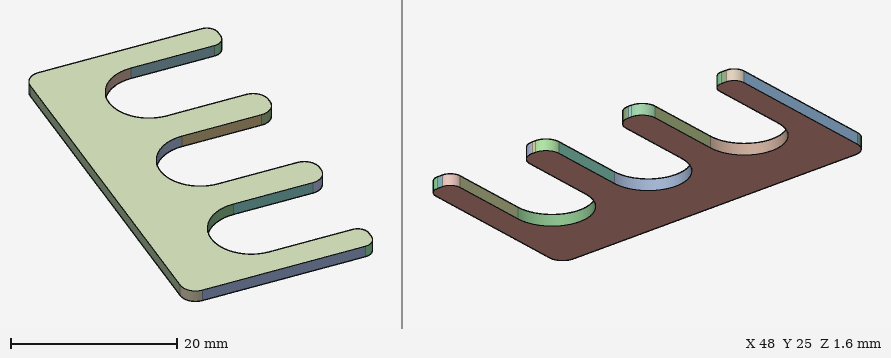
import cadquery as cq

length = 48.0
width = 25.0
thickness = 1.6
base_corner_radius = 2.0

slot_count = 3
slot_width = 10.5
slot_depth = 17.75
outer_tine_width = 3.75
slot_radius = slot_width / 2
slot_pitch = (length - 2 * outer_tine_width - slot_width) / (slot_count - 1)
first_slot_x = -length / 2 + outer_tine_width + slot_radius

outer_tip_radius = 1.5
inner_tip_radius = 2.0

tip_y = width / 2
slot_center_y = tip_y - slot_depth + slot_radius


def slot_cutter(center_x):
    """Round-bottomed slot running out through the tine tips."""
    return (
        cq.Workplane("XY")
        .moveTo(center_x - slot_radius, tip_y)
        .lineTo(center_x - slot_radius, slot_center_y)
        .threePointArc(
            (center_x, slot_center_y - slot_radius),
            (center_x + slot_radius, slot_center_y),
        )
        .lineTo(center_x + slot_radius, tip_y)
        .close()
        .extrude(thickness)
    )


def round_tips(body, x_min, x_max, radius):
    """Round the vertical tip edges lying between x_min and x_max."""
    margin = 0.05
    tip_edges = cq.selectors.BoxSelector(
        (x_min - margin, tip_y - margin, -margin),
        (x_max + margin, tip_y + margin, thickness + margin),
    )
    return body.edges("|Z").edges(tip_edges).fillet(radius)


plate = cq.Workplane("XY").box(length, width, thickness, centered=(True, True, False))
plate = plate.edges("|Z and <Y").fillet(base_corner_radius)

for index in range(slot_count):
    plate = plate.cut(slot_cutter(first_slot_x + index * slot_pitch))

for index in range(slot_count - 1):
    tine_start = first_slot_x + index * slot_pitch + slot_radius
    tine_end = tine_start + slot_pitch - slot_width
    plate = round_tips(plate, tine_start, tine_end, inner_tip_radius)

plate = round_tips(plate, -length / 2, -length / 2 + outer_tine_width, outer_tip_radius)
plate = round_tips(plate, length / 2 - outer_tine_width, length / 2, outer_tip_radius)

result = plate